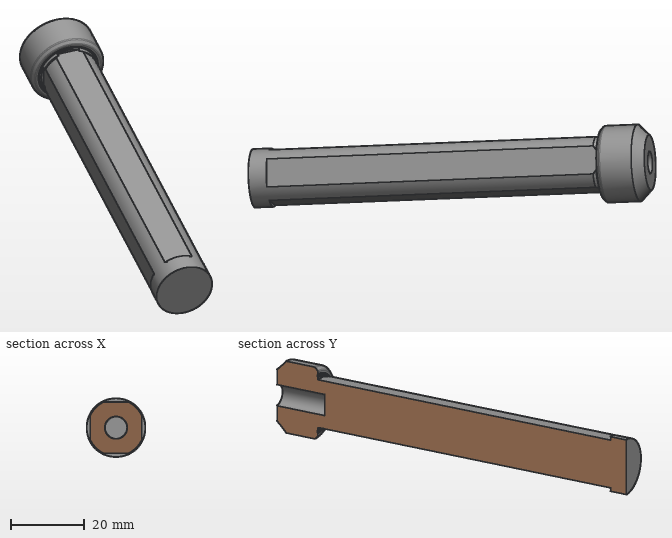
import cadquery as cq

total_length = 110.0
shaft_diameter = 16.0

head_diameter = 21.0
head_length = 13.0
head_front_chamfer = 3.0
head_back_chamfer = 1.0
head_back_rounding = 0.5

relief_width = 1.35
relief_depth = 0.45
relief_undercut = 0.2
relief_height = 0.6
relief_corner_radius = 0.6
relief_floor_length = 0.1

flat_count = 4
across_flats = 14.0
collar_length = 5.0

hole_diameter = 6.0
hole_depth = 15.0

front_x = -total_length / 2
end_x = total_length / 2
head_back_x = front_x + head_length
collar_x = end_x - collar_length
flats_length = collar_x - head_back_x


def cylinder(start_x, length, diameter):
    """Solid cylinder along +X, starting at start_x."""
    return cq.Workplane("YZ", origin=(start_x, 0, 0)).circle(diameter / 2).extrude(length)


def make_head():
    head = cylinder(front_x, head_length, head_diameter)
    head = head.faces("<X").chamfer(head_front_chamfer)
    head = head.faces(">X").chamfer(head_back_chamfer)
    margin = head_back_chamfer / 2
    back_rim = cq.selectors.BoxSelector(
        (head_back_x - head_back_chamfer - margin, -head_diameter, -head_diameter),
        (head_back_x + margin, head_diameter, head_diameter),
        boundingbox=True,
    )
    return head.edges(back_rim).edges("%CIRCLE").fillet(head_back_rounding)


def make_relief():
    """Ring with a slanted wall in the head, a round corner and a ramp up to the shaft."""
    shaft_radius = shaft_diameter / 2
    floor_radius = shaft_radius - relief_depth
    wall_x = head_back_x - relief_undercut
    corner_end_x = wall_x + relief_corner_radius
    profile = (
        cq.Workplane("XY")
        .moveTo(head_back_x, shaft_radius + relief_height)
        .lineTo(wall_x, floor_radius + relief_corner_radius)
        .radiusArc((corner_end_x, floor_radius), -relief_corner_radius)
        .lineTo(corner_end_x + relief_floor_length, floor_radius)
        .lineTo(head_back_x + relief_width, shaft_radius)
        .close()
    )
    return profile.revolve(360, (0, 0, 0), (1, 0, 0))


def make_flat_cutter(angle):
    """Block that removes the shaft material outside one flat."""
    cut_height = (shaft_diameter - across_flats) / 2
    block = cq.Workplane("XY").box(
        flats_length, shaft_diameter, cut_height, centered=(False, True, False)
    )
    block = block.translate((head_back_x, 0, across_flats / 2))
    return block.rotate((0, 0, 0), (1, 0, 0), angle)


def make_shaft():
    shaft = cylinder(head_back_x, total_length - head_length, shaft_diameter)
    for index in range(flat_count):
        shaft = shaft.cut(make_flat_cutter(index * 360 / flat_count))
    return shaft


hole = cylinder(front_x, hole_depth, hole_diameter)
result = make_head().union(make_shaft()).cut(make_relief()).cut(hole)